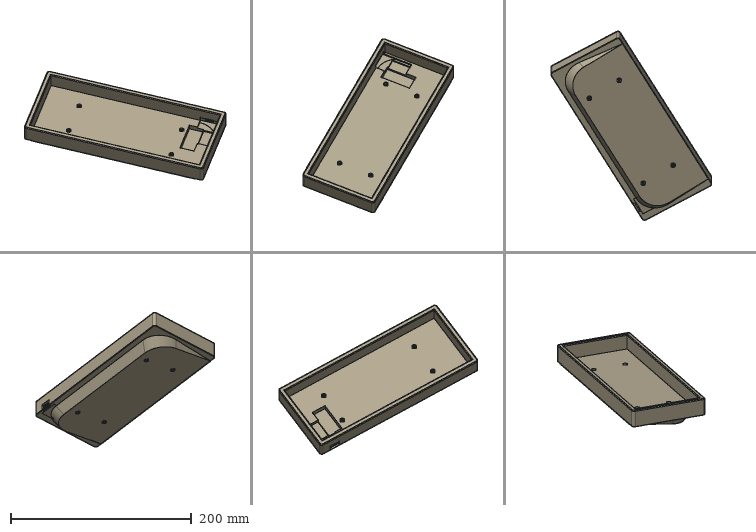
import cadquery as cq
import math

TRAY_LENGTH = 207.4
TRAY_WIDTH = 88.35
OVERALL_HEIGHT = 31.59
TRAY_HEIGHT = 19.8
CORNER_RADIUS = 3.0
RIM_CHAMFER = 1.0
LEAD_IN = 1.0
BASE_CHAMFER = 0.5
WALL = 5.7
FLOOR = 2.5
CAVITY_LENGTH = TRAY_LENGTH - 2 * WALL
CAVITY_WIDTH = TRAY_WIDTH - 2 * WALL

TILT = 9.0
FOOT_DEPTH = OVERALL_HEIGHT - TRAY_HEIGHT
FOOT_REAR_Y = 30.2
FOOT_LENGTH = FOOT_DEPTH / math.sin(math.radians(TILT))
FOOT_FRONT_Y = FOOT_REAR_Y - FOOT_DEPTH / math.tan(math.radians(TILT))
FOOT_WIDTH = 189.6
FOOT_CORNER_RADIUS = 24.5
FOOT_FLARE = 1.11
FOOT_FLARE_HEIGHT = 20.0
FOOT_FLARE_CENTRE = 4.0

SCREW_SPACING_X = 119.06
SCREW_SPACING_Y = 38.1
SCREW_DIAMETER = 2.0
SCREW_HEAD_DIAMETER = 5.0
TOP_COUNTERBORE_DEPTH = 2.0
BOTTOM_COUNTERBORE_DEPTH = 1.0

BOARD_DEPTH = 1.8
CHIP_DEPTH = 1.8
PLUG_DEPTH = 2.4
BOARD_X = (74.9, 95.6)
BOARD_FRONT_Y = 4.9
CHIP_X = (82.0, 93.2)
CHIP_REAR_Y = 27.0
PLUG_X = (65.6, 82.0)
PLUG_Y = (-7.0, 28.0)

BOARD_NOTCH_DEPTH = 1.8
BOARD_NOTCH_HEIGHT = 6.2
PORT_WIDTH = 9.0
PORT_HEIGHT = 4.0
PORT_LIFT = 1.4
PORT_LIP = 1.5
RELIEF_WIDTH = 12.0
RELIEF_HEIGHT = 7.0


def box_between(x_range, y_range, z_range):
    """Box spanning the given (low, high) range along each axis."""
    spans = [high - low for low, high in (x_range, y_range, z_range)]
    corner = (x_range[0], y_range[0], z_range[0])
    return cq.Workplane().box(*spans, centered=False).translate(corner)


def make_tray():
    tray = cq.Workplane().rect(TRAY_LENGTH, TRAY_WIDTH).extrude(TRAY_HEIGHT)
    tray = tray.edges("|Z").fillet(CORNER_RADIUS)
    tray = tray.faces(">Z").chamfer(RIM_CHAMFER)
    return tray.faces("<Z").chamfer(BASE_CHAMFER)


def make_cavity():
    cavity = cq.Workplane().workplane(offset=FLOOR).rect(CAVITY_LENGTH, CAVITY_WIDTH)
    cavity = cavity.extrude(TRAY_HEIGHT - FLOOR)
    lead_in = (
        cq.Workplane()
        .workplane(offset=TRAY_HEIGHT - LEAD_IN)
        .rect(CAVITY_LENGTH, CAVITY_WIDTH)
        .workplane(offset=LEAD_IN)
        .rect(CAVITY_LENGTH + 2 * LEAD_IN, CAVITY_WIDTH + 2 * LEAD_IN)
        .loft(ruled=True)
    )
    return cavity.union(lead_in)


def foot_outline(scale, height):
    """Closed wire parallel to the tilted sole, scaled about the flare centre."""
    half_width = scale * FOOT_WIDTH / 2
    front = FOOT_FLARE_CENTRE - scale * FOOT_FLARE_CENTRE
    rear = front + scale * FOOT_LENGTH
    radius = scale * FOOT_CORNER_RADIUS
    bulge = radius * (1 - math.sqrt(0.5))
    sole = cq.Plane(origin=(0, FOOT_FRONT_Y, 0)).rotated((-TILT, 0, 0))
    outline = (
        cq.Workplane(sole)
        .workplane(offset=height)
        .moveTo(-half_width, front)
        .lineTo(half_width, front)
        .lineTo(half_width, rear - radius)
        .threePointArc((half_width - bulge, rear - bulge), (half_width - radius, rear))
        .lineTo(radius - half_width, rear)
        .threePointArc((bulge - half_width, rear - bulge), (-half_width, rear - radius))
        .close()
    )
    return outline.val()


def make_foot():
    lower = foot_outline(1.0, 0.0)
    upper = foot_outline(FOOT_FLARE, FOOT_FLARE_HEIGHT)
    flared = cq.Workplane(cq.Solid.makeLoft([lower, upper], True))
    under_tray = box_between(
        (-TRAY_LENGTH / 2, TRAY_LENGTH / 2), (-TRAY_WIDTH / 2, TRAY_WIDTH / 2), (-FOOT_DEPTH, 0)
    )
    return flared.intersect(under_tray)


def make_screw_hole(x, y):
    sole_z = -(y - FOOT_FRONT_Y) * math.tan(math.radians(TILT))
    through = cq.Workplane().circle(SCREW_DIAMETER / 2).extrude(2 * OVERALL_HEIGHT, both=True)
    top = cq.Workplane().workplane(offset=FLOOR - TOP_COUNTERBORE_DEPTH).circle(SCREW_HEAD_DIAMETER / 2)
    top = top.extrude(TOP_COUNTERBORE_DEPTH)
    bottom = cq.Workplane().workplane(offset=sole_z + BOTTOM_COUNTERBORE_DEPTH)
    bottom = bottom.circle(SCREW_HEAD_DIAMETER / 2).extrude(-FOOT_DEPTH)
    return through.union(top).union(bottom).translate((x, y, 0))


def make_electronics_pocket():
    cavity_rear_y = CAVITY_WIDTH / 2
    notch_y = cavity_rear_y + BOARD_NOTCH_DEPTH
    board_z = FLOOR - BOARD_DEPTH
    chip_z = board_z - CHIP_DEPTH
    plug_z = chip_z - PLUG_DEPTH
    board = box_between(BOARD_X, (BOARD_FRONT_Y, cavity_rear_y), (board_z, FLOOR))
    chip = box_between(CHIP_X, (BOARD_FRONT_Y, CHIP_REAR_Y), (chip_z, FLOOR))
    plug = box_between(PLUG_X, PLUG_Y, (plug_z, FLOOR))
    notch = box_between(BOARD_X, (BOARD_FRONT_Y, notch_y), (board_z, board_z + BOARD_NOTCH_HEIGHT))
    return board.union(chip).union(plug).union(notch)


def make_port():
    port_x = sum(BOARD_X) / 2
    port_z = FLOOR - BOARD_DEPTH + PORT_LIFT + PORT_HEIGHT / 2
    lip_y = CAVITY_WIDTH / 2 + BOARD_NOTCH_DEPTH
    outer_y = TRAY_WIDTH / 2
    from_centre = (True, False, True)
    port = cq.Workplane().box(PORT_WIDTH, outer_y - lip_y, PORT_HEIGHT, centered=from_centre)
    relief = cq.Workplane().box(
        RELIEF_WIDTH, outer_y - lip_y - PORT_LIP, RELIEF_HEIGHT, centered=from_centre
    )
    return port.union(relief.translate((0, PORT_LIP, 0))).translate((port_x, lip_y, port_z))


result = make_tray().union(make_foot()).cut(make_cavity())
for side_x in (-1, 1):
    for side_y in (-1, 1):
        result = result.cut(make_screw_hole(side_x * SCREW_SPACING_X / 2, side_y * SCREW_SPACING_Y / 2))
result = result.cut(make_electronics_pocket())
result = result.cut(make_port())